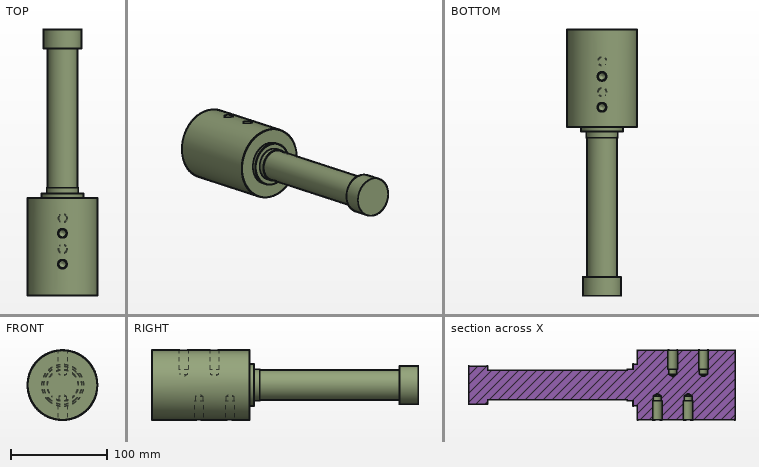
import cadquery as cq
import math

body_diameter = 73.0
body_length = 102.0
flange_diameter = 44.0
flange_length = 4.5
collar_diameter = 33.0
collar_length = 6.0
rod_diameter = 31.5
head_diameter = 40.0
head_length = 20.0
overall_length = 277.0
rod_length = overall_length - body_length - flange_length - collar_length - head_length

body_front_chamfer = 0.5
body_rear_chamfer = 0.5
flange_chamfer = 0.5
head_chamfer = 0.5

hole_diameter = 9.5
hole_depth = 20.0
pilot_diameter = 8.0
pilot_depth = 25.0
drill_tip_angle = 118.0
holes_per_side = 2
first_top_hole = 33.0
hole_pitch = 32.0
bottom_hole_shift = hole_pitch / 2


def cylinder(diameter, length, start):
    """Solid cylinder on the Y axis, running from start towards +Y."""
    return (
        cq.Workplane("XZ", origin=(0, start, 0))
        .circle(diameter / 2)
        .extrude(-length)
    )


def stepped_hole(position, side):
    """Cutter entering from the top (side 1) or bottom (side -1): wide bore, pilot, conical tip."""
    bore_radius = hole_diameter / 2
    pilot_radius = pilot_diameter / 2
    tip_length = pilot_radius / math.tan(math.radians(drill_tip_angle / 2))
    surface = side * body_diameter / 2
    bore_floor = surface - side * hole_depth
    pilot_floor = surface - side * pilot_depth
    tip = pilot_floor - side * tip_length
    half_profile = [
        (0, surface),
        (bore_radius, surface),
        (bore_radius, bore_floor),
        (pilot_radius, bore_floor),
        (pilot_radius, pilot_floor),
        (0, tip),
    ]
    return (
        cq.Workplane("XZ", origin=(0, position, 0))
        .polyline(half_profile)
        .close()
        .revolve(360, (0, 0, 0), (0, 1, 0))
    )


def make_body():
    body = cylinder(body_diameter, body_length, 0)
    body = body.faces("<Y").chamfer(body_front_chamfer)
    body = body.faces(">Y").chamfer(body_rear_chamfer)
    for index in range(holes_per_side):
        top_position = first_top_hole + index * hole_pitch
        body = body.cut(stepped_hole(top_position, 1))
        body = body.cut(stepped_hole(top_position + bottom_hole_shift, -1))
    return body


def make_handle():
    """Flange, collar, rod and head stacked behind the body."""
    collar_start = body_length + flange_length
    rod_start = collar_start + collar_length
    head_start = rod_start + rod_length
    flange = cylinder(flange_diameter, flange_length, body_length)
    flange = flange.faces(">Y").chamfer(flange_chamfer)
    collar = cylinder(collar_diameter, collar_length, collar_start)
    rod = cylinder(rod_diameter, rod_length, rod_start)
    head = cylinder(head_diameter, head_length, head_start)
    head = head.faces("<Y").chamfer(head_chamfer)
    return flange.union(collar).union(rod).union(head)


result = make_body().union(make_handle())